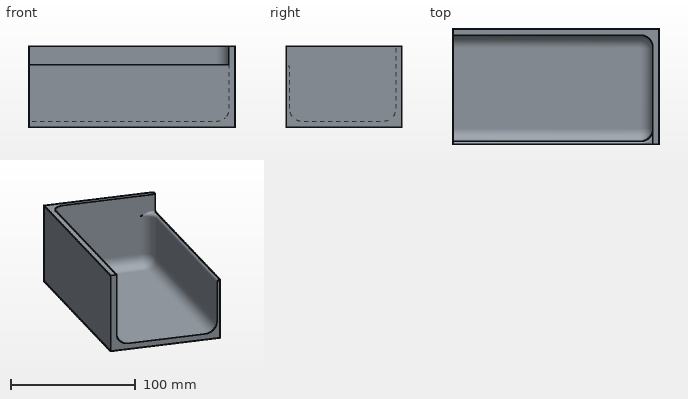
import cadquery as cq

length = 165.0
width = 92.5
height = 65.0

floor_thickness = 5.0
back_wall = 5.0
end_wall = 5.0
front_wall = 2.5
front_height = 50.0

cavity_radius = 10.0
lip_radius = front_wall
lip_end_radius = 1.0

front_stock = 2.0

cavity_end = length - end_wall
corner_tangent = front_wall + cavity_radius


def box(x_range, y_range, z_range):
    """Axis-aligned box spanning the given (low, high) ranges."""
    ranges = (x_range, y_range, z_range)
    size = [high - low for low, high in ranges]
    corner = tuple(low for low, high in ranges)
    return cq.Workplane("XY").box(*size, centered=False).translate(corner)


def edges_within(x_range, y_range, z_range):
    """Selector for edges whose centre lies in the given ranges."""
    low_corner, high_corner = zip(x_range, y_range, z_range)
    return cq.selectors.BoxSelector(low_corner, high_corner)


def make_cavity():
    """Trough open at the top and at -X, with rounded corners and floor edges."""
    cavity = box(
        (0, cavity_end + cavity_radius),
        (front_wall, width - back_wall),
        (floor_thickness, height),
    )
    cavity = cavity.translate((-cavity_radius, 0, 0))
    return cavity.edges("|Z or <Z").fillet(cavity_radius)


def make_front_opening():
    """Space above the low front wall, reaching back past its rounded corner."""
    return box(
        (0, cavity_end),
        (-front_stock, corner_tangent),
        (front_height, height),
    )


def round_lip(body):
    """Round the inner top edge of the front wall, along its corner as well."""
    inner_edge = edges_within(
        (0, cavity_end - lip_radius),
        (front_wall / 2, corner_tangent),
        (front_height - lip_radius, front_height + lip_radius),
    )
    return body.edges(inner_edge).fillet(lip_radius)


def round_lip_end(body):
    """Blend the rounded lip into the end wall."""
    junction = edges_within(
        (cavity_end - lip_end_radius / 2, cavity_end + lip_end_radius),
        (-front_stock, corner_tangent),
        (front_height - lip_radius, front_height + lip_end_radius),
    )
    return body.edges(junction).fillet(lip_end_radius)


block = box((0, length), (-front_stock, width), (0, height))
body = block.cut(make_cavity()).cut(make_front_opening())
body = round_lip_end(round_lip(body))
result = body.intersect(box((0, length), (0, width), (0, height)))